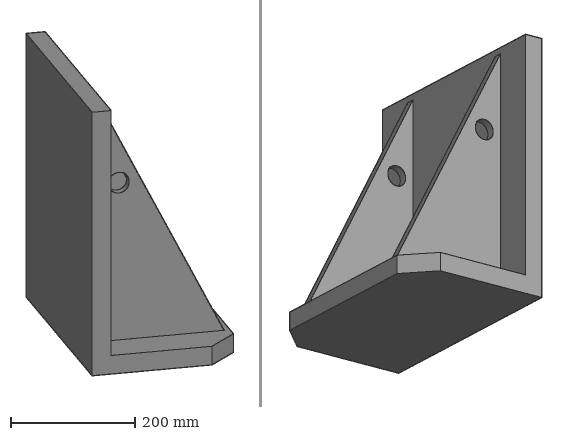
import cadquery as cq

width = 400.0
depth = 250.0
height = 450.0
plate_thickness = 32.0
corner_chamfer = 50.0
rib_thickness = 15.0
rib_side_inset = 70.0
rib_edge_setback = 10.0
rib_top_setback = 11.0
hole_diameter = 35.0
hole_height = 300.0
hole_distance_from_front = 2 * plate_thickness


def make_base():
    """Horizontal plate with its two rear corners cut at 45 degrees."""
    base = cq.Workplane("XY").box(width, depth, plate_thickness, centered=(True, False, False))
    return base.edges("|Z and >Y").chamfer(corner_chamfer)


def make_face_plate():
    """Upright plate along the front edge of the base."""
    return cq.Workplane("XY").box(width, plate_thickness, height, centered=(True, False, False))


def make_rib(left_side):
    """Triangular gusset with a lifting hole, spanning the inner corner of the plates."""
    return (
        cq.Workplane("YZ", origin=(left_side, 0, 0))
        .moveTo(plate_thickness, plate_thickness)
        .lineTo(depth - rib_edge_setback, plate_thickness)
        .lineTo(plate_thickness, height - rib_top_setback)
        .close()
        .moveTo(hole_distance_from_front, hole_height)
        .circle(hole_diameter / 2)
        .extrude(rib_thickness)
    )


left_rib_side = -width / 2 + rib_side_inset
right_rib_side = width / 2 - rib_side_inset - rib_thickness

result = make_base().union(make_face_plate())
for rib_side in (left_rib_side, right_rib_side):
    result = result.union(make_rib(rib_side))